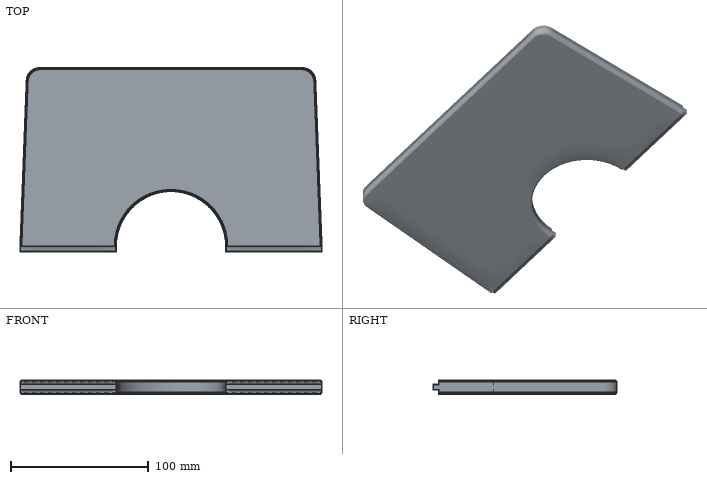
import cadquery as cq

front_width = 220.0
back_width = 210.0
depth = 134.0
thickness = 10.0
corner_radius = 10.0
edge_chamfer = 1.0
tongue_depth = 4.0
tongue_thickness = 4.0
notch_radius = 40.0
notch_center_y = tongue_depth

cutter_margin = 2.2


def tapered_plate():
    """Plate symmetric about X = 0 and Z = 0, tapering behind the straight-ended tongue at Y = 0."""
    outline = [
        (-front_width / 2, 0),
        (front_width / 2, 0),
        (front_width / 2, tongue_depth),
        (back_width / 2, depth),
        (-back_width / 2, depth),
        (-front_width / 2, tongue_depth),
    ]
    plate = cq.Workplane("XY").polyline(outline).close().extrude(thickness / 2, both=True)
    return plate.edges("|Z and >Y").fillet(corner_radius)


def notch():
    """Round cutter for the recess in the front edge."""
    cutter = cq.Workplane("XY").center(0, notch_center_y).circle(notch_radius)
    return cutter.extrude(thickness / 2 + cutter_margin, both=True)


def front_step(side):
    """Cutter above (side = 1) or below (side = -1) the front tongue."""
    height = thickness / 2 - tongue_thickness / 2 + cutter_margin
    cutter = cq.Workplane("XY").box(
        front_width + 2 * cutter_margin,
        tongue_depth + cutter_margin,
        height,
        centered=(True, False, False),
    )
    bottom = tongue_thickness / 2 if side > 0 else -tongue_thickness / 2 - height
    return cutter.translate((0, -cutter_margin, bottom))


plate = tapered_plate().cut(notch())

rims = plate.faces("|Z").edges("not(<Y)")
plate = rims.chamfer(edge_chamfer)

for side in (1, -1):
    plate = plate.cut(front_step(side))

result = plate